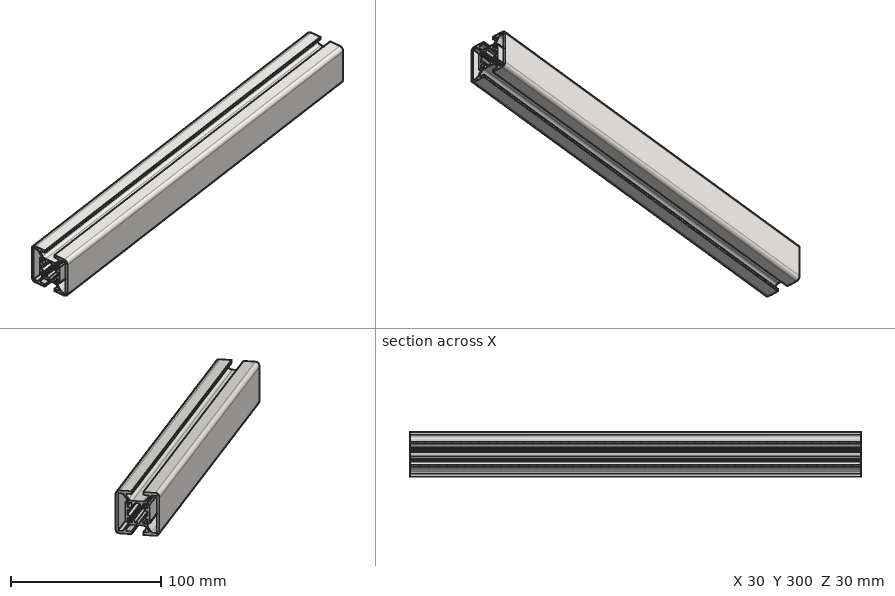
import cadquery as cq
import math

side = 30.0
length = 300.0
corner_radius = 3.0

wall = 1.8
lip = 2.0
slot_width = 8.0

core_half = 8.5
core_wall = 1.5
core_notch = 1.85
core_bevel = 1.2

web_thickness = 1.05
web_lip_x = 10.0
web_wall_fillet = 1.5
web_slot_fillet = 1.0
web_core_fillet = 3.0

tooth_offset = 2.7
tooth_base = 2.7
tooth_tip = 1.0
tip_shift = 0.3
tooth_height = 2.0

half_side = side / 2
wall_inner_x = half_side - wall
lip_inner_z = half_side - lip
bore_half = core_half - core_wall
notch_half = core_half - core_notch

web_run = web_lip_x - notch_half
web_rise = lip_inner_z - core_half
web_width_x = web_thickness * math.hypot(web_run, web_rise) / web_rise


def prism(sketch_plane):
    """Extrude a closed profile over the full bar length, centred along Y."""
    return sketch_plane.extrude(length / 2, both=True)


def profile_plane():
    return cq.Workplane("XZ")


def make_skin():
    outer = prism(profile_plane().rect(side, side)).edges("|Y").fillet(corner_radius)
    cavity = prism(profile_plane().rect(2 * wall_inner_x, 2 * lip_inner_z))
    slots = prism(profile_plane().rect(slot_width, 2 * side))
    return outer.cut(cavity).cut(slots)


def make_core():
    upright = prism(profile_plane().rect(2 * notch_half, 2 * core_half))
    crosswise = prism(profile_plane().rect(2 * core_half, 2 * notch_half))
    bore = prism(profile_plane().rect(2 * bore_half, 2 * bore_half)).edges("|Y").chamfer(core_bevel)
    return upright.union(crosswise).cut(bore)


def make_web(x_sign, z_sign):
    overlap = core_wall / 2
    overlap_x = overlap * web_run / web_rise
    x_outer = web_lip_x + overlap_x
    z_outer = lip_inner_z + overlap
    corners = [
        (x_outer, z_outer),
        (notch_half, core_half),
        (notch_half, core_half - overlap),
        (notch_half - web_width_x - overlap_x, core_half - overlap),
        (x_outer - web_width_x, z_outer),
    ]
    return prism(profile_plane().polyline([(x_sign * x, z_sign * z) for x, z in corners]).close())


def fillet_web_ends(body):
    """Round both sides of each web at the lip, and its slot side at the core."""
    roots = [
        (web_lip_x, lip_inner_z, web_wall_fillet),
        (web_lip_x - web_width_x, lip_inner_z, web_slot_fillet),
        (notch_half - web_width_x, core_half, web_core_fillet),
    ]
    for x, z, radius in roots:
        for x_sign in (-1, 1):
            for z_sign in (-1, 1):
                root = (x_sign * x, 0, z_sign * z)
                edge = body.edges("|Y").edges(cq.NearestToPointSelector(root))
                body = edge.fillet(radius)
    return body


def make_tooth(side_sign, turn):
    root = bore_half + core_wall / 2
    tip = bore_half - tooth_height
    tip_offset = tooth_offset + tip_shift
    points = [
        (tooth_offset - tooth_base / 2, root),
        (tooth_offset - tooth_base / 2, bore_half),
        (tip_offset - tooth_tip / 2, tip),
        (tip_offset + tooth_tip / 2, tip),
        (tooth_offset + tooth_base / 2, bore_half),
        (tooth_offset + tooth_base / 2, root),
    ]
    tooth = prism(profile_plane().polyline([(side_sign * x, z) for x, z in points]).close())
    return tooth.rotate((0, 0, 0), (0, 1, 0), turn)


result = make_skin().union(make_core())

for x_sign in (-1, 1):
    for z_sign in (-1, 1):
        result = result.union(make_web(x_sign, z_sign))
result = fillet_web_ends(result)

for turn in (0, 90, 180, 270):
    for side_sign in (-1, 1):
        result = result.union(make_tooth(side_sign, turn))